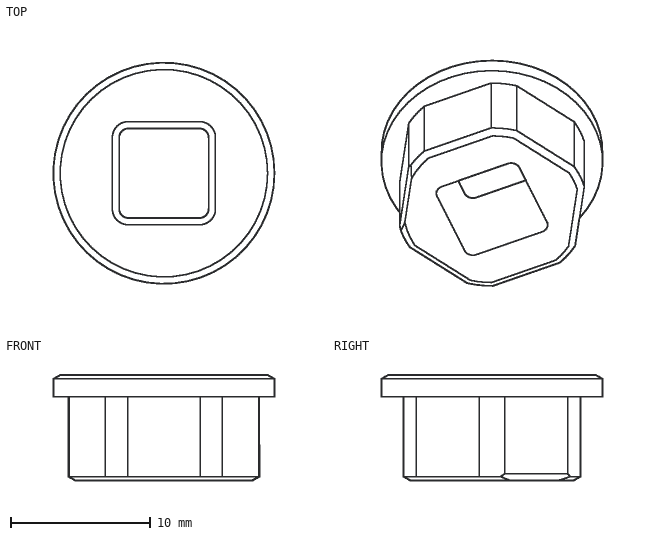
import cadquery as cq
import math

flange_diameter = 15.88
flange_thickness = 1.59

total_height = 7.59
hex_across_flats = 12.7
flat_width = 5.2
hex_sides = 6
body_height = total_height - flange_thickness
corner_diameter = math.hypot(hex_across_flats, flat_width)
hex_across_corners = hex_across_flats / math.cos(math.pi / hex_sides)

square_size = 6.4
square_corner_radius = 0.64

chamfer_width = 0.5
chamfer_angle = 30
chamfer_depth = chamfer_width * math.tan(math.radians(chamfer_angle))


def make_flange():
    """Round flange with its top at Z = total_height and its upper edge chamfered."""
    flange = (
        cq.Workplane("XY")
        .workplane(offset=body_height)
        .circle(flange_diameter / 2)
        .extrude(flange_thickness)
    )
    return flange.faces(">Z").chamfer(chamfer_depth, chamfer_width)


def make_body():
    """Hexagon with corners on the X axis, rounded corners and a chamfered bottom."""
    hexagon = cq.Workplane("XY").polygon(hex_sides, hex_across_corners).extrude(body_height)
    corner_cylinder = cq.Workplane("XY").circle(corner_diameter / 2).extrude(body_height)
    body = hexagon.intersect(corner_cylinder)
    return body.faces("<Z").chamfer(chamfer_width, chamfer_depth)


def rounded_square(plane_height, growth):
    """Outline of the hole, grown outward evenly on all sides."""
    return (
        cq.Sketch()
        .rect(square_size + 2 * growth, square_size + 2 * growth)
        .vertices()
        .fillet(square_corner_radius + growth)
        .moved(cq.Location(cq.Vector(0, 0, plane_height)))
    )


def make_hole():
    """Square through hole that widens into a chamfered mouth at the top."""
    shaft = cq.Workplane("XY").placeSketch(rounded_square(0, 0)).extrude(total_height)
    mouth = (
        cq.Workplane("XY")
        .placeSketch(
            rounded_square(total_height - chamfer_depth, 0),
            rounded_square(total_height, chamfer_width),
        )
        .loft()
    )
    return shaft.union(mouth)


result = make_body().union(make_flange()).cut(make_hole())